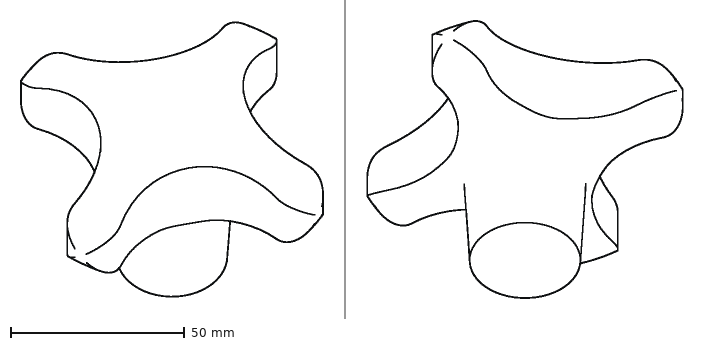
import cadquery as cq
import math

total_height = 63.0
outer_radius = 50.0
head_bottom = 38.0
rim_radius = 8.4

arm_count = 4
tip_radius = 8.0
hollow_offset = 35.0

stem_bottom_radius = 16.0
stem_top_radius = 17.6
stem_top = 30.6
flare_radius = 25.0

tip_center = outer_radius - tip_radius
hollow_to_tip = math.hypot(hollow_offset, tip_center - hollow_offset)
hollow_radius = hollow_to_tip - tip_radius


def polar(radius, degrees):
    angle = math.radians(degrees)
    return (radius * math.cos(angle), radius * math.sin(angle))


def turned_sector(angle):
    """Sector of the turned blank: tapered stem, flare, rounded rim and tangent dome."""
    rim_center_radius = outer_radius - rim_radius
    rim_center_height = head_bottom + rim_radius
    crown_drop = total_height - head_bottom - 2 * rim_radius
    dome_radius = rim_radius + (rim_center_radius**2 + crown_drop**2) / (2 * crown_drop)
    dome_center = total_height - dome_radius
    lean = math.asin(rim_center_radius / (dome_radius - rim_radius))

    def dome_point(angle_from_axis):
        return (
            dome_radius * math.sin(angle_from_axis),
            dome_center + dome_radius * math.cos(angle_from_axis),
        )

    return (
        cq.Workplane("XZ")
        .lineTo(stem_bottom_radius, 0)
        .lineTo(stem_top_radius, stem_top)
        .tangentArcPoint((flare_radius, head_bottom), relative=False)
        .lineTo(rim_center_radius, head_bottom)
        .threePointArc((outer_radius, rim_center_height), dome_point(lean))
        .threePointArc(dome_point(lean / 2), (0, total_height))
        .close()
        .revolve(angle, (0, 0, 0), (0, -1, 0))
    )


def cross_prism():
    """Four-armed outline, built from one tip arc and one hollow arc per arm."""
    step = 360 / arm_count
    hollow_distance = hollow_offset * math.sqrt(2)
    touch_x = tip_center - tip_radius * (tip_center - hollow_offset) / hollow_to_tip
    touch_y = tip_radius * hollow_offset / hollow_to_tip
    touch_radius = math.hypot(touch_x, touch_y)
    touch_angle = math.degrees(math.atan2(touch_y, touch_x))

    outline = cq.Workplane("XY").moveTo(*polar(touch_radius, -touch_angle))
    for arm in range(arm_count):
        heading = arm * step
        outline = outline.threePointArc(
            polar(outer_radius, heading), polar(touch_radius, heading + touch_angle)
        ).threePointArc(
            polar(hollow_distance - hollow_radius, heading + step / 2),
            polar(touch_radius, heading + step - touch_angle),
        )
    return outline.close().extrude(total_height)


def knob():
    """Equal trimmed sectors of the blank that meet along the arm centrelines."""
    step = 360 / arm_count
    sector = turned_sector(step).intersect(cross_prism())
    joined = sector
    for arm in range(1, arm_count):
        joined = joined.union(sector.rotate((0, 0, 0), (0, 0, 1), arm * step), clean=False)
    return joined.clean()


result = knob()